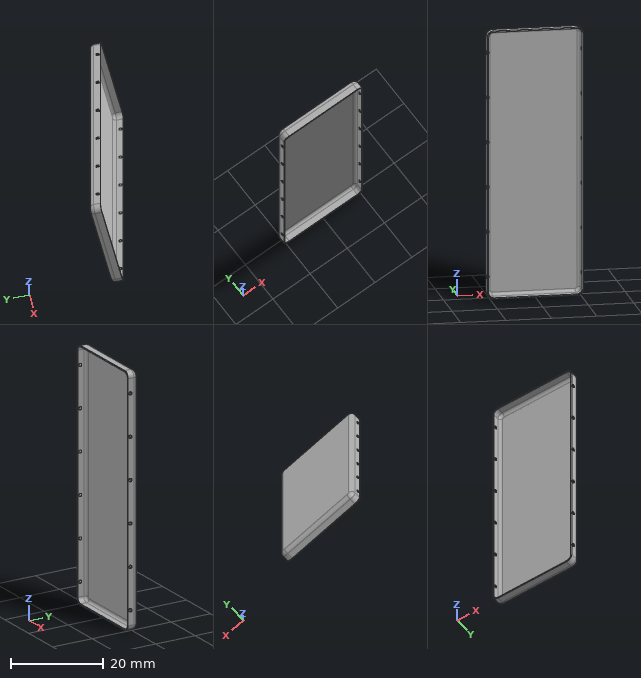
import cadquery as cq

width = 21.2
depth = 2.5
height = 59.9

wall = 0.3
corner_radius = 1.45
back_edge_radius = 1.0

dimple_count = 6
dimple_pitch = 10.0
dimple_radius = 0.35
dimple_depth = 0.2
dimple_from_rim = 0.6

rim_y = -depth / 2


def rounded_block(inset):
    """Block with rounded corners and a rounded back edge, inset from the outer faces."""
    block_depth = depth - inset
    return (
        cq.Workplane("XZ", origin=(0, rim_y, 0))
        .rect(width - 2 * inset, height - 2 * inset)
        .extrude(-block_depth)
        .edges("|Y")
        .fillet(corner_radius - inset)
        .faces(">Y")
        .edges()
        .fillet(back_edge_radius - inset)
    )


def dimple_spheres(face_x):
    """Spheres centred outside x = -face_x and x = face_x that reach inward past them by the dimple depth."""
    sphere_radius = (dimple_radius**2 + dimple_depth**2) / (2 * dimple_depth)
    sphere_x = face_x + sphere_radius - dimple_depth
    first_z = -dimple_pitch * (dimple_count - 1) / 2
    centres = [
        (rim_y + dimple_from_rim, first_z + i * dimple_pitch, side * sphere_x)
        for side in (-1, 1)
        for i in range(dimple_count)
    ]
    return cq.Workplane("YZ").pushPoints(centres).sphere(sphere_radius)


cavity = rounded_block(wall).cut(dimple_spheres(width / 2 - wall))
hollows = dimple_spheres(width / 2)
result = rounded_block(0).cut(cavity).cut(hollows)